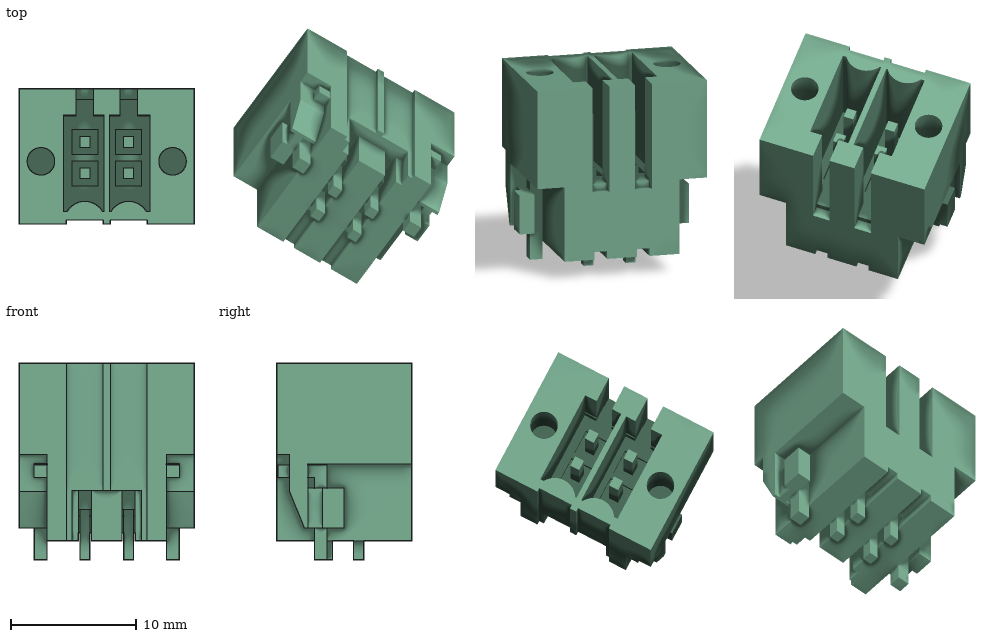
import cadquery as cq

SIDES = (-1, 1)

WIDTH = 14.0
DEPTH = 10.8
HEIGHT = 14.2
HALF_WIDTH = WIDTH / 2
FRONT_Y = -DEPTH / 2
BACK_Y = DEPTH / 2
LEG_LENGTH = 1.5

COLUMN_X = 1.75
ROW_PITCH = 2.5
MIDDLE_ROW_Y = -0.1
ROWS_Y = (MIDDLE_ROW_Y - ROW_PITCH / 2, MIDDLE_ROW_Y + ROW_PITCH / 2)

CAVITY_OUTER_X = 3.47
CAVITY_INNER_X = 0.22
CAVITY_FRONT_Y = -4.39
CAVITY_BACK_Y = 3.3
CAVITY_FLOOR_Z = 6.0
SHOULDER_LEDGE = 0.08
SHOULDER_LEDGE_Z = CAVITY_FLOOR_Z + 1.0
FLUTE_HALF_CHORD = 1.41
FLUTE_RISE = 0.8
SOCKET_WIDTH = 2.07
SOCKET_DEPTH_Y = 2.0
SOCKET_DEPTH = 0.5
KEY_WIDTH = 1.4
KEY_STEP_Y = 4.56
KEY_STEP_DROP = 0.5

SCREW_X = 5.25
SCREW_Y = -0.39
SCREW_DIAMETER = 2.2
SCREW_DEPTH = 6.0

GROOVE_INNER_X = 0.285
GROOVE_OUTER_X = 3.22
GROOVE_DEPTH = 0.32
OPENING_HALF_WIDTH = 2.79
OPENING_HEIGHT = 4.02
OPENING_BACK_Y = -4.09

SLOT_WIDTH = 1.03
SLOT_STEPS = (
    (OPENING_BACK_Y, OPENING_HEIGHT),
    (ROWS_Y[0] - SOCKET_DEPTH_Y / 2, 2.5),
    (MIDDLE_ROW_Y, 1.98),
    (ROWS_Y[1] + SOCKET_DEPTH_Y / 2, 0.64),
)

CORE_HALF_WIDTH = 4.75
FRONT_RECESS_Z = 6.9
BACK_RECESS_Z = 6.15
WALL_FRONT_Y = -4.37
WALL_BACK_Y = -2.9
WALL_FOOT_Y = -3.17
WALL_FOOT_Z = 1.02
WALL_SLOPE_Z = 3.96

HOOK_TOP_Z = 4.22
HOOK_BACK_Y = -0.02
HOOK_STEP_Y = -1.74
HOOK_STEP_X = 0.5

CLIP_WIDTH = 1.04
CLIP_THICKNESS = 1.02
CLIP_TOP_Z = 6.08
CLIP_FRONT_Y = -5.27
CLIP_BACK_Y = -1.37
CLIP_OUTER_X = CORE_HALF_WIDTH + CLIP_WIDTH

PIN_WIDTH = 0.8
PIN_DEPTH = 0.84
PIN_TOP_Z = 11.0


def box(x_ends, y_ends, z_ends):
    """Box between two X, two Y and two Z positions, each pair in either order."""
    (x0, x1), (y0, y1), (z0, z1) = sorted(x_ends), sorted(y_ends), sorted(z_ends)
    return cq.Workplane("XY").box(x1 - x0, y1 - y0, z1 - z0, centered=False).translate((x0, y0, z0))


def centered(middle, size):
    """The two ends of a stretch of the given size around its middle."""
    return (middle - size / 2, middle + size / 2)


def pin(x, y):
    """Straight rectangular contact pin."""
    return box(centered(x, PIN_WIDTH), centered(y, PIN_DEPTH), (-LEG_LENGTH, PIN_TOP_Z))


def clip(side):
    """L-shaped solder clip: an arm that pokes out at the front and a leg that points down."""
    profile = (
        cq.Workplane("YZ")
        .moveTo(CLIP_BACK_Y, -LEG_LENGTH)
        .lineTo(CLIP_BACK_Y, CLIP_TOP_Z)
        .lineTo(CLIP_FRONT_Y, CLIP_TOP_Z)
        .lineTo(CLIP_FRONT_Y, CLIP_TOP_Z - CLIP_THICKNESS)
        .lineTo(CLIP_BACK_Y - CLIP_THICKNESS, CLIP_TOP_Z - CLIP_THICKNESS)
        .lineTo(CLIP_BACK_Y - CLIP_THICKNESS, -LEG_LENGTH)
        .close()
    )
    middle_x = side * (CORE_HALF_WIDTH + CLIP_WIDTH / 2)
    return profile.extrude(CLIP_WIDTH / 2, both=True).translate((middle_x, 0, 0))


def plug_cavity(side):
    """Cavity of one contact column, with its key slot, ledge, flute and pin sockets."""
    column_x = side * COLUMN_X
    cavity_x = (side * CAVITY_INNER_X, side * CAVITY_OUTER_X)
    key_x = centered(column_x, KEY_WIDTH)

    cavity = box(cavity_x, (CAVITY_FRONT_Y, CAVITY_BACK_Y), (CAVITY_FLOOR_Z, HEIGHT))
    ledge = box(
        cavity_x,
        (CAVITY_BACK_Y - SHOULDER_LEDGE, CAVITY_BACK_Y),
        (CAVITY_FLOOR_Z, SHOULDER_LEDGE_Z),
    )
    flute = (
        cq.Workplane("XY", origin=(column_x, CAVITY_FRONT_Y, CAVITY_FLOOR_Z))
        .moveTo(-FLUTE_HALF_CHORD, 0)
        .threePointArc((0, FLUTE_RISE), (FLUTE_HALF_CHORD, 0))
        .close()
        .extrude(HEIGHT - CAVITY_FLOOR_Z)
    )
    key = box(key_x, (CAVITY_BACK_Y - SHOULDER_LEDGE, BACK_Y), (CAVITY_FLOOR_Z, HEIGHT))
    key_step = box(key_x, (KEY_STEP_Y, BACK_Y), (CAVITY_FLOOR_Z - KEY_STEP_DROP, CAVITY_FLOOR_Z))
    cavity = cavity.cut(ledge).cut(flute).union(key).union(key_step)

    for row_y in ROWS_Y:
        cavity = cavity.union(
            box(
                centered(column_x, SOCKET_WIDTH),
                centered(row_y, SOCKET_DEPTH_Y),
                (CAVITY_FLOOR_Z - SOCKET_DEPTH, CAVITY_FLOOR_Z),
            )
        )
    return cavity


def stepped_slot(side):
    """Slot in the underside of one column; its ceiling drops in steps towards the back."""
    slot_x = centered(side * COLUMN_X, SLOT_WIDTH)
    slot_ends = [start for start, _ in SLOT_STEPS[1:]] + [BACK_Y]
    slot = cq.Workplane("XY")
    for (start, ceiling), end in zip(SLOT_STEPS, slot_ends):
        slot = slot.union(box(slot_x, (start, end), (0, ceiling)))
    return slot


def side_recess(side):
    """Space cut away below the wide upper block, in front of the wall, behind it and under it."""
    recess_x = (side * CORE_HALF_WIDTH, side * HALF_WIDTH)
    profile = (
        cq.Workplane("YZ")
        .moveTo(FRONT_Y, 0)
        .lineTo(FRONT_Y, FRONT_RECESS_Z)
        .lineTo(WALL_FRONT_Y, FRONT_RECESS_Z)
        .lineTo(WALL_FRONT_Y, WALL_SLOPE_Z)
        .lineTo(WALL_FOOT_Y, WALL_FOOT_Z)
        .lineTo(WALL_BACK_Y, WALL_FOOT_Z)
        .lineTo(WALL_BACK_Y, BACK_RECESS_Z)
        .lineTo(BACK_Y, BACK_RECESS_Z)
        .lineTo(BACK_Y, 0)
        .close()
    )
    width = HALF_WIDTH - CORE_HALF_WIDTH
    return profile.extrude(width).translate((min(recess_x), 0, 0))


def clip_window(side):
    """Window through the wall for the arm of the clip, a little higher than the arm."""
    return box(
        (side * CORE_HALF_WIDTH, side * CLIP_OUTER_X),
        (WALL_FRONT_Y, WALL_BACK_Y),
        (CLIP_TOP_Z - CLIP_THICKNESS, BACK_RECESS_Z),
    )


def hook(side):
    """Thin finger on the back of the wall that ends in a thicker block beside the clip."""
    hook_z = (WALL_FOOT_Z, HOOK_TOP_Z)
    inner_x = side * CLIP_OUTER_X
    finger = box((inner_x, side * (HALF_WIDTH - HOOK_STEP_X)), (WALL_BACK_Y, HOOK_STEP_Y), hook_z)
    block = box((inner_x, side * HALF_WIDTH), (HOOK_STEP_Y, HOOK_BACK_Y), hook_z)
    return finger.union(block)


def front_groove(side):
    """Shallow full-height groove in the front face."""
    return box(
        (side * GROOVE_INNER_X, side * GROOVE_OUTER_X),
        (FRONT_Y, FRONT_Y + GROOVE_DEPTH),
        (0, HEIGHT),
    )


def screw_hole(side):
    """Blind round hole in the top."""
    return (
        cq.Workplane("XY", origin=(side * SCREW_X, SCREW_Y, HEIGHT - SCREW_DEPTH))
        .circle(SCREW_DIAMETER / 2)
        .extrude(SCREW_DEPTH)
    )


pins = [pin(side * COLUMN_X, row_y) for side in SIDES for row_y in ROWS_Y]
clips = [clip(side) for side in SIDES]

housing = box((-HALF_WIDTH, HALF_WIDTH), (FRONT_Y, BACK_Y), (0, HEIGHT))
housing = housing.cut(
    box(
        (-OPENING_HALF_WIDTH, OPENING_HALF_WIDTH),
        (FRONT_Y, OPENING_BACK_Y),
        (0, OPENING_HEIGHT),
    )
)
for side in SIDES:
    housing = housing.cut(plug_cavity(side)).cut(stepped_slot(side)).cut(front_groove(side))
    housing = housing.cut(screw_hole(side)).cut(side_recess(side)).cut(clip_window(side))
    housing = housing.union(hook(side))
for contact in pins:
    housing = housing.cut(contact)

result = cq.Compound.makeCompound([housing.val(), *(body.val() for body in pins + clips)])